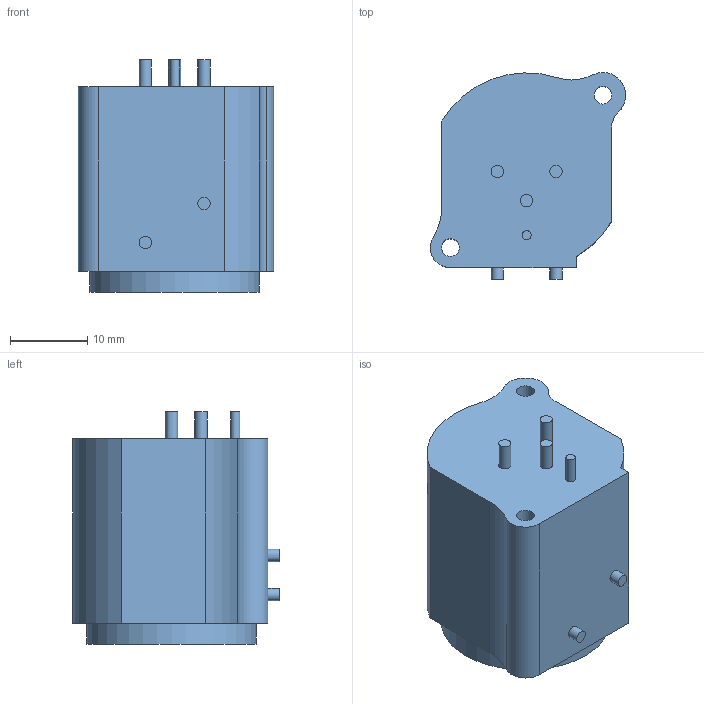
import cadquery as cq
import math

HOUSING_HEIGHT = 24.0
HOUSING_RADIUS = 12.8
HALF_WIDTH = 11.0
FRONT_FACE_RIGHT_END = 6.45

EAR_ANGLE = math.radians(45)
SCREW_CIRCLE_RADIUS = 14.0
SCREW_OFFSET = SCREW_CIRCLE_RADIUS * math.cos(EAR_ANGLE)
SCREW_HOLE_DIAMETER = 2.3
REAR_EAR = (SCREW_OFFSET, SCREW_OFFSET)
FRONT_EAR = (-SCREW_OFFSET, -SCREW_OFFSET)
REAR_EAR_RADIUS = 2.95
FRONT_EAR_RADIUS = 2.6
FRONT_FACE_Y = FRONT_EAR[1] - FRONT_EAR_RADIUS

REAR_BLEND_RADIUS = 6.0
RIGHT_BLEND_RADIUS = 3.0
LEFT_BLEND_RADIUS = 8.0

BASE_RADIUS = HALF_WIDTH
BASE_HEIGHT = 2.7

PIN_DIAMETER = 1.6
LOCATING_PIN_DIAMETER = 1.2
PIN_PITCH = 3.81
LOCATING_PIN_Y = -8.27
TOP_PIN_LENGTH = 3.5
FRONT_PIN_LENGTH = 1.5
LOW_FRONT_PIN_Z = 3.75
FRONT_PIN_RISE = 5.08


def point_on_circle(center, radius, angle):
    return (center[0] + radius * math.cos(angle), center[1] + radius * math.sin(angle))


def direction(start, end):
    return math.atan2(end[1] - start[1], end[0] - start[0])


def touch_point(center, radius, blend_center):
    """Point where a circle meets a blend that touches it from outside."""
    return point_on_circle(center, radius, direction(center, blend_center))


def side_blend_center(ear, ear_radius, blend_radius, side):
    """Centre of a blend tangent to an ear and to the flat on one side (+1 right, -1 left).

    The blend lies between the ear and the X axis.
    """
    x = side * (HALF_WIDTH + blend_radius)
    rise = math.sqrt((ear_radius + blend_radius) ** 2 - (x - ear[0]) ** 2)
    return (x, ear[1] - math.copysign(rise, ear[1]))


def rear_blend_center():
    """Centre of the blend tangent to the rear ear and to the round rear of the housing."""
    to_axis = HOUSING_RADIUS + REAR_BLEND_RADIUS
    to_ear = REAR_EAR_RADIUS + REAR_BLEND_RADIUS
    spacing = SCREW_CIRCLE_RADIUS
    cosine = (to_axis**2 + spacing**2 - to_ear**2) / (2 * to_axis * spacing)
    return point_on_circle((0, 0), to_axis, EAR_ANGLE + math.acos(cosine))


def arc_to(sketch, center, radius, start, end):
    """Draw the shorter arc between two points of a circle."""
    middle = ((start[0] + end[0]) / 2, (start[1] + end[1]) / 2)
    return sketch.threePointArc(point_on_circle(center, radius, direction(center, middle)), end)


def make_housing():
    axis = (0, 0)
    flat_end_y = math.sqrt(HOUSING_RADIUS**2 - HALF_WIDTH**2)
    notch_y = -math.sqrt(HOUSING_RADIUS**2 - FRONT_FACE_RIGHT_END**2)

    left_blend = side_blend_center(FRONT_EAR, FRONT_EAR_RADIUS, LEFT_BLEND_RADIUS, -1)
    right_blend = side_blend_center(REAR_EAR, REAR_EAR_RADIUS, RIGHT_BLEND_RADIUS, 1)
    rear_blend = rear_blend_center()

    front_face_left = (FRONT_EAR[0], FRONT_FACE_Y)
    notch_corner = (FRONT_FACE_RIGHT_END, notch_y)
    right_flat_front = (HALF_WIDTH, -flat_end_y)
    right_flat_rear = (HALF_WIDTH, right_blend[1])
    rear_ear_right = touch_point(REAR_EAR, REAR_EAR_RADIUS, right_blend)
    rear_ear_tip = point_on_circle(REAR_EAR, REAR_EAR_RADIUS, EAR_ANGLE)
    rear_ear_left = touch_point(REAR_EAR, REAR_EAR_RADIUS, rear_blend)
    round_rear_end = touch_point(axis, HOUSING_RADIUS, rear_blend)
    left_flat_rear = (-HALF_WIDTH, flat_end_y)
    left_flat_front = (-HALF_WIDTH, left_blend[1])
    front_ear_left = touch_point(FRONT_EAR, FRONT_EAR_RADIUS, left_blend)

    outline = cq.Workplane("XY").moveTo(*front_face_left)
    outline = outline.lineTo(FRONT_FACE_RIGHT_END, FRONT_FACE_Y).lineTo(*notch_corner)
    outline = arc_to(outline, axis, HOUSING_RADIUS, notch_corner, right_flat_front)
    outline = outline.lineTo(*right_flat_rear)
    outline = arc_to(outline, right_blend, RIGHT_BLEND_RADIUS, right_flat_rear, rear_ear_right)
    outline = outline.threePointArc(rear_ear_tip, rear_ear_left)
    outline = arc_to(outline, rear_blend, REAR_BLEND_RADIUS, rear_ear_left, round_rear_end)
    outline = arc_to(outline, axis, HOUSING_RADIUS, round_rear_end, left_flat_rear)
    outline = outline.lineTo(*left_flat_front)
    outline = arc_to(outline, left_blend, LEFT_BLEND_RADIUS, left_flat_front, front_ear_left)
    outline = arc_to(outline, FRONT_EAR, FRONT_EAR_RADIUS, front_ear_left, front_face_left)
    housing = outline.close().extrude(HOUSING_HEIGHT)

    ears = housing.faces(">Z").workplane(origin=(0, 0, HOUSING_HEIGHT)).pushPoints([REAR_EAR, FRONT_EAR])
    return ears.hole(SCREW_HOLE_DIAMETER)


def make_base():
    return cq.Workplane("XY").circle(BASE_RADIUS).extrude(-BASE_HEIGHT)


def make_top_pins():
    top = cq.Workplane("XY").workplane(offset=HOUSING_HEIGHT)
    contacts = [(-PIN_PITCH, 0), (PIN_PITCH, 0), (0, -PIN_PITCH)]
    contact_pins = top.pushPoints(contacts).circle(PIN_DIAMETER / 2).extrude(TOP_PIN_LENGTH)
    locating_pin = top.center(0, LOCATING_PIN_Y).circle(LOCATING_PIN_DIAMETER / 2).extrude(TOP_PIN_LENGTH)
    return contact_pins.union(locating_pin)


def make_front_pins():
    places = [(-PIN_PITCH, LOW_FRONT_PIN_Z), (PIN_PITCH, LOW_FRONT_PIN_Z + FRONT_PIN_RISE)]
    front = cq.Workplane("XZ", origin=(0, FRONT_FACE_Y, 0))
    return front.pushPoints(places).circle(PIN_DIAMETER / 2).extrude(FRONT_PIN_LENGTH)


result = make_housing().union(make_base()).union(make_top_pins()).union(make_front_pins())